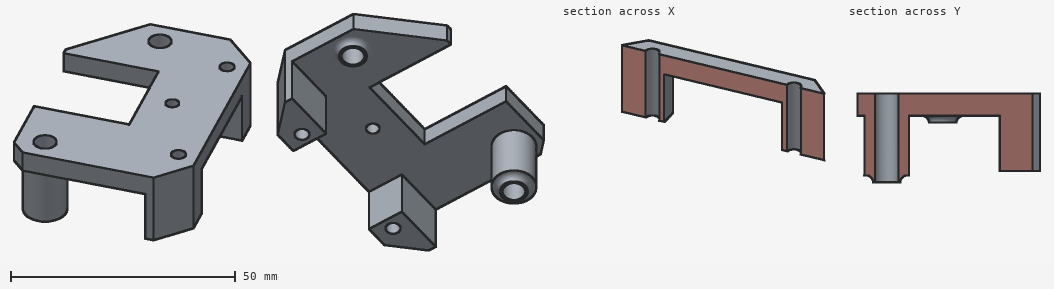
import cadquery as cq
import math

length_x = 40.7
length_y = 54.9
plate_thickness = 5.0
total_height = 19.75
right_corner_cut = 7.0
near_corner_cut = 3.0
far_corner_cut = 14.95

notch_depth = 22.25
notch_y_start = 17.45
notch_y_end = 38.5

leg_x_start = 31.7
leg_width = 13.0
leg_drop = 12.25

near_pin_center = (6.55, 5.3)
far_pin_center = (19.0, 49.4)
pin_hole_diameter = 5.1
post_diameter = 10.0
collar_diameter = 6.15
collar_height = 1.5
post_height = total_height - plate_thickness - collar_height

leg_hole_diameter = 3.3
leg_hole_x = 36.2
leg_hole_edge_distance = 10.05
middle_hole_diameter = 3.0
middle_hole_center = (28.9, 28.0)


def make_outline():
    """Plate outline without the notch, with its four cut corners."""
    return cq.Workplane("XY").polyline([
        (near_corner_cut, 0),
        (length_x - right_corner_cut, 0),
        (length_x, right_corner_cut),
        (length_x, length_y - right_corner_cut),
        (length_x - right_corner_cut, length_y),
        (far_corner_cut, length_y),
        (0, length_y - far_corner_cut),
        (0, near_corner_cut),
    ]).close()


def make_plate():
    notch = cq.Workplane("XY").box(
        notch_depth, notch_y_end - notch_y_start, plate_thickness, centered=False
    ).translate((0, notch_y_start, 0))
    return make_outline().extrude(plate_thickness).cut(notch)


def make_legs():
    """Corner blocks trimmed to the plate outline."""
    blocks = cq.Workplane("XY")
    for y_start in (0, length_y - leg_width):
        block = cq.Workplane("XY").box(
            length_x - leg_x_start, leg_width, leg_drop, centered=False
        )
        blocks = blocks.add(block.translate((leg_x_start, y_start, -leg_drop)))
    return make_outline().extrude(-leg_drop).intersect(blocks.combine())


def make_collar(center, z_top):
    """Round collar hanging from z_top, with a concave quarter-circle flare."""
    radius = collar_diameter / 2
    root_radius = radius + collar_height
    bend = math.sin(math.radians(45))
    flare_middle = (
        root_radius - collar_height * bend,
        -collar_height * (1 - bend),
    )
    profile = (
        cq.Workplane("XZ")
        .lineTo(root_radius, 0)
        .threePointArc(flare_middle, (radius, -collar_height))
        .lineTo(0, -collar_height)
        .close()
    )
    return profile.revolve(360, (0, 0), (0, 1)).translate((*center, z_top))


def make_holes(centers, diameter):
    """Cutters through the whole height of the part."""
    return (
        cq.Workplane("XY", origin=(0, 0, plate_thickness))
        .pushPoints(centers)
        .circle(diameter / 2)
        .extrude(-total_height)
    )


post = (
    cq.Workplane("XY")
    .center(*near_pin_center)
    .circle(post_diameter / 2)
    .extrude(-post_height)
)
leg_hole_centers = [
    (leg_hole_x, leg_hole_edge_distance),
    (leg_hole_x, length_y - leg_hole_edge_distance),
]

result = (
    make_plate()
    .union(make_legs())
    .union(post)
    .union(make_collar(near_pin_center, -post_height))
    .union(make_collar(far_pin_center, 0))
    .cut(make_holes([near_pin_center, far_pin_center], pin_hole_diameter))
    .cut(make_holes(leg_hole_centers, leg_hole_diameter))
    .cut(make_holes([middle_hole_center], middle_hole_diameter))
)